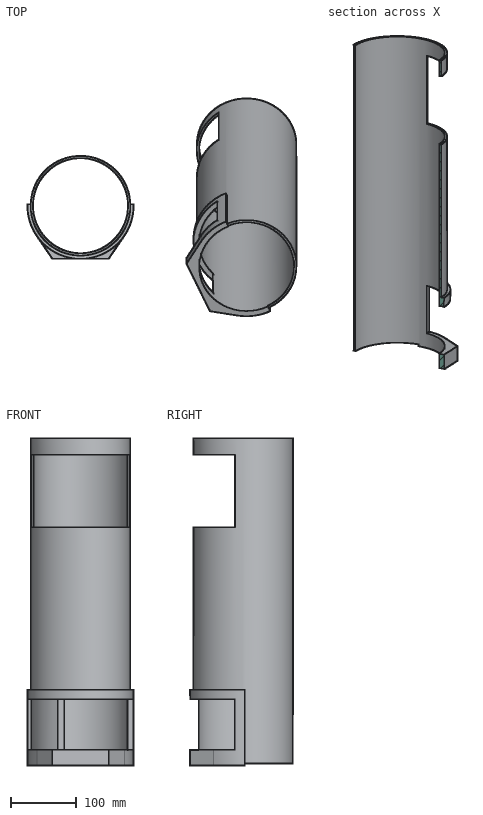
import cadquery as cq
import math

HEIGHT = 497.0
TUBE_OUTER_DIAMETER = 151.5
BORE_DIAMETER = 144.0
TUBE_BOTTOM = 3.0

SLEEVE_DIAMETER = 161.5
SLEEVE_TOP = 115.5
SLEEVE_BACK = 2.5

FOOT_HEIGHT = 24.0
FOOT_FLAT_WIDTH = 85.5

WINDOW_BACK = -12.5
UPPER_WINDOW_BOTTOM = 362.0
UPPER_WINDOW_TOP = 471.5
LOWER_WINDOW_TOP = 100.5
LEFT_WALL_FRONT = -67.5

sleeve_radius = SLEEVE_DIAMETER / 2


def cylinder(diameter, bottom, top):
    return cq.Workplane("XY").workplane(offset=bottom).circle(diameter / 2).extrude(top - bottom)


def front_block(back, bottom, top, left=-SLEEVE_DIAMETER, right=SLEEVE_DIAMETER):
    """Block reaching from the plane y = back to well in front of the part."""
    front = -SLEEVE_DIAMETER
    return (
        cq.Workplane("XY")
        .box(right - left, back - front, top - bottom, centered=False)
        .translate((left, front, bottom))
    )


def make_tube():
    tube = cylinder(TUBE_OUTER_DIAMETER, TUBE_BOTTOM, HEIGHT)
    upper_window = front_block(WINDOW_BACK, UPPER_WINDOW_BOTTOM, UPPER_WINDOW_TOP)
    right_opening = front_block(WINDOW_BACK, FOOT_HEIGHT, LOWER_WINDOW_TOP, left=0)
    left_opening = front_block(LEFT_WALL_FRONT, FOOT_HEIGHT, LOWER_WINDOW_TOP, right=0)
    return tube.cut(upper_window).cut(right_opening).cut(left_opening)


def make_sleeve():
    band = cylinder(SLEEVE_DIAMETER, 0, SLEEVE_TOP)
    band = band.intersect(front_block(SLEEVE_BACK, 0, SLEEVE_TOP))
    return band.cut(front_block(WINDOW_BACK, FOOT_HEIGHT, LOWER_WINDOW_TOP))


def make_foot():
    corner_x = FOOT_FLAT_WIDTH / 2
    tangent_angle = 2 * math.atan2(corner_x, sleeve_radius)
    tangent_x = sleeve_radius * math.sin(tangent_angle)
    tangent_y = -sleeve_radius * math.cos(tangent_angle)
    outline = [
        (-corner_x, -sleeve_radius),
        (corner_x, -sleeve_radius),
        (tangent_x, tangent_y),
        (-tangent_x, tangent_y),
    ]
    return cq.Workplane("XY").polyline(outline).close().extrude(FOOT_HEIGHT)


socket = cylinder(TUBE_OUTER_DIAMETER, TUBE_BOTTOM, HEIGHT)
bore = cylinder(BORE_DIAMETER, 0, HEIGHT)
holder = make_sleeve().union(make_foot()).cut(socket)
result = holder.union(make_tube()).cut(bore)